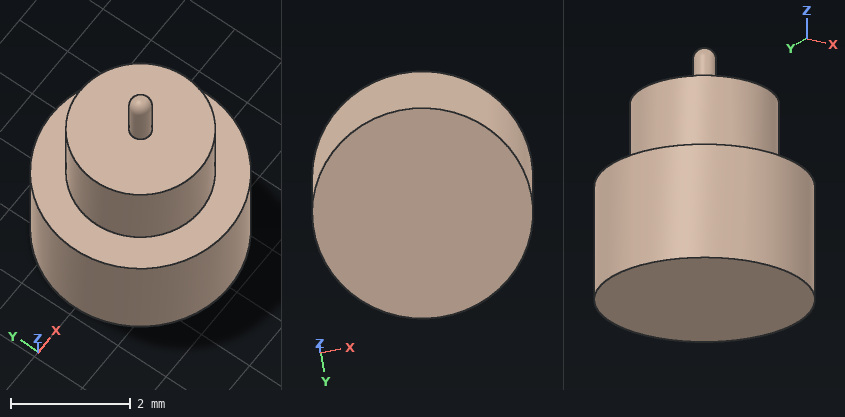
import cadquery as cq

total_height = 4.55
base_diameter = 3.7
base_height = 2.05
collar_diameter = 2.502
collar_height = 1.495
pin_diameter = 0.39

pin_radius = pin_diameter / 2
pin_shank_height = total_height - base_height - collar_height - pin_radius

base = cq.Workplane("XY").circle(base_diameter / 2).extrude(base_height)
body = base.faces(">Z").workplane().circle(collar_diameter / 2).extrude(collar_height)

pin_shank = body.faces(">Z").workplane().circle(pin_radius).extrude(pin_shank_height, combine=False)
pin_tip = cq.Workplane("XY").sphere(pin_radius).translate((0, 0, total_height - pin_radius))

result = body.union(pin_shank).union(pin_tip)